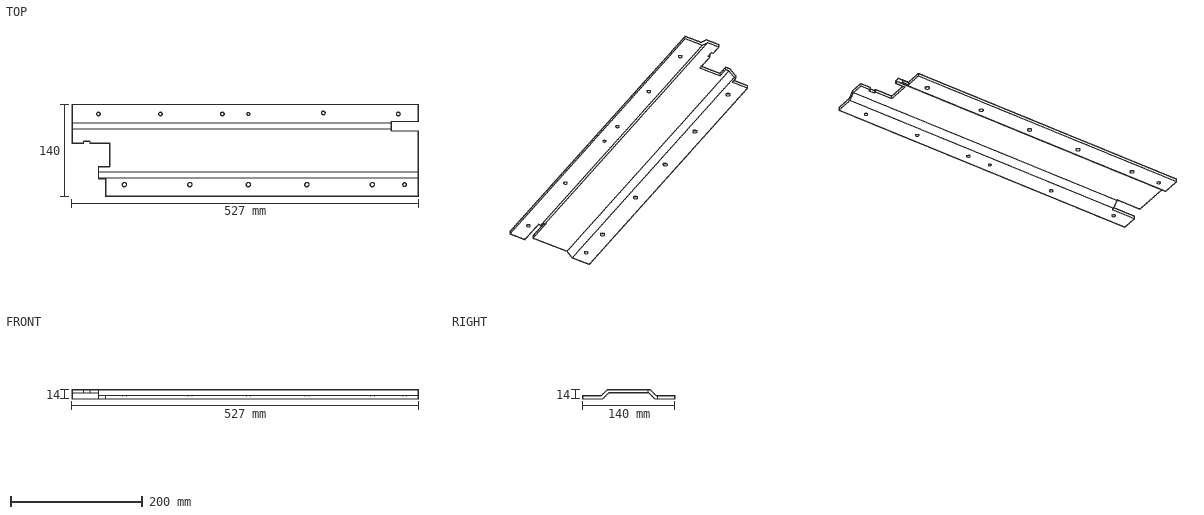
import cadquery as cq
import math

length = 527.0
width = 140.0
height = 14.0
thickness = 5.0
crown_half_width = 32.5
bend_angle = 45.0

web_left = 40.0
front_flange_left = 51.0
flange_step_y = -43.0
notch_right = 57.0
notch_back = 10.5
notch_front = -25.0
relief_left = 17.5
relief_right = 27.0
relief_back = 13.5

slot_left = 486.0
slot_front = 29.5
slot_back = 44.0

datum_x = 268.0
back_row_y = 55.5
raised_hole_y = 57.0
front_row_y = -52.0
datum_hole_diameter = 4.4
small_hole_diameter = 5.5
large_hole_diameter = 6.5
back_end_offset = 228.0
back_left_pitch = 94.5
front_inner_offset = 89.0
front_outer_offset = 188.5
front_end_hole_x = 506.0

half_width = width / 2
slope_rise = height - thickness
flange_bend_y = crown_half_width + slope_rise / math.tan(math.radians(bend_angle))
bend_shift = thickness * math.tan(math.radians(bend_angle / 2))


def folded_sheet():
    """Hat-shaped sheet section swept along the full length."""
    upper = [
        (-half_width, thickness),
        (-flange_bend_y, thickness),
        (-crown_half_width, height),
        (crown_half_width, height),
        (flange_bend_y, thickness),
        (half_width, thickness),
    ]
    lower = [
        (half_width, 0),
        (flange_bend_y - bend_shift, 0),
        (crown_half_width - bend_shift, slope_rise),
        (bend_shift - crown_half_width, slope_rise),
        (bend_shift - flange_bend_y, 0),
        (-half_width, 0),
    ]
    return cq.Workplane("YZ").polyline(upper + lower).close().extrude(length)


def blank_outline():
    """Flat plan outline, including the left-end cutouts, as a full-height prism."""
    points = [
        (front_flange_left, -half_width),
        (length, -half_width),
        (length, slot_front),
        (slot_left, slot_front),
        (slot_left, slot_back),
        (length, slot_back),
        (length, half_width),
        (0, half_width),
        (0, notch_back),
        (relief_left, notch_back),
        (relief_left, relief_back),
        (relief_right, relief_back),
        (relief_right, notch_back),
        (notch_right, notch_back),
        (notch_right, notch_front),
        (web_left, notch_front),
        (web_left, flange_step_y),
        (front_flange_left, flange_step_y),
    ]
    return cq.Workplane("XY").polyline(points).close().extrude(height)


def drill(body, centres, diameter):
    """Cut vertical through holes at the given plan positions."""
    return body.cut(cq.Workplane("XY").pushPoints(centres).circle(diameter / 2).extrude(height))


back_first_x = datum_x - back_end_offset
small_holes = [(back_first_x + i * back_left_pitch, back_row_y) for i in range(3)]
small_holes += [
    (datum_x + back_end_offset / 2, raised_hole_y),
    (datum_x + back_end_offset, back_row_y),
    (front_end_hole_x, front_row_y),
]
front_offsets = [-front_outer_offset, -front_inner_offset, 0, front_inner_offset, front_outer_offset]
large_holes = [(datum_x + offset, front_row_y) for offset in front_offsets]

result = folded_sheet().intersect(blank_outline())
result = drill(result, small_holes, small_hole_diameter)
result = drill(result, [(datum_x, back_row_y)], datum_hole_diameter)
result = drill(result, large_holes, large_hole_diameter)